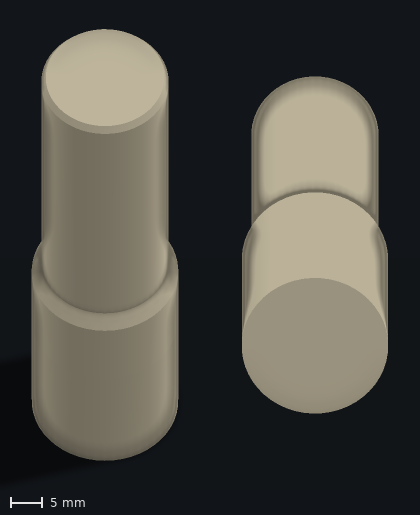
import cadquery as cq

total_length = 88.0
body_diameter = 23.0
lower_length = 22.3

shank_diameter = 20.0
shank_length = 50.0
tip_chamfer_height = 1.1
tip_chamfer_width = 0.7

shoulder_height = 2.6

body_radius = body_diameter / 2
shank_radius = shank_diameter / 2
tip_radius = shank_radius - tip_chamfer_width
shank_bottom = total_length - shank_length
collar_top = shank_bottom - shoulder_height
shank_top_edge = total_length - tip_chamfer_height


def make_lower_cylinder():
    """Plain cylinder that carries the stepped shank on its flat top face."""
    return cq.Workplane("XY").circle(body_radius).extrude(lower_length)


def make_stepped_shank():
    """Collar, conical shoulder and chamfered shank, revolved about Z."""
    return (
        cq.Workplane("XZ")
        .moveTo(0, lower_length)
        .lineTo(body_radius, lower_length)
        .lineTo(body_radius, collar_top)
        .lineTo(shank_radius, shank_bottom)
        .lineTo(shank_radius, shank_top_edge)
        .lineTo(tip_radius, total_length)
        .lineTo(0, total_length)
        .close()
        .revolve(360, (0, 0, 0), (0, 1, 0))
    )


lower_cylinder = make_lower_cylinder()
stepped_shank = make_stepped_shank()

result = cq.Compound.makeCompound([lower_cylinder.val(), stepped_shank.val()])